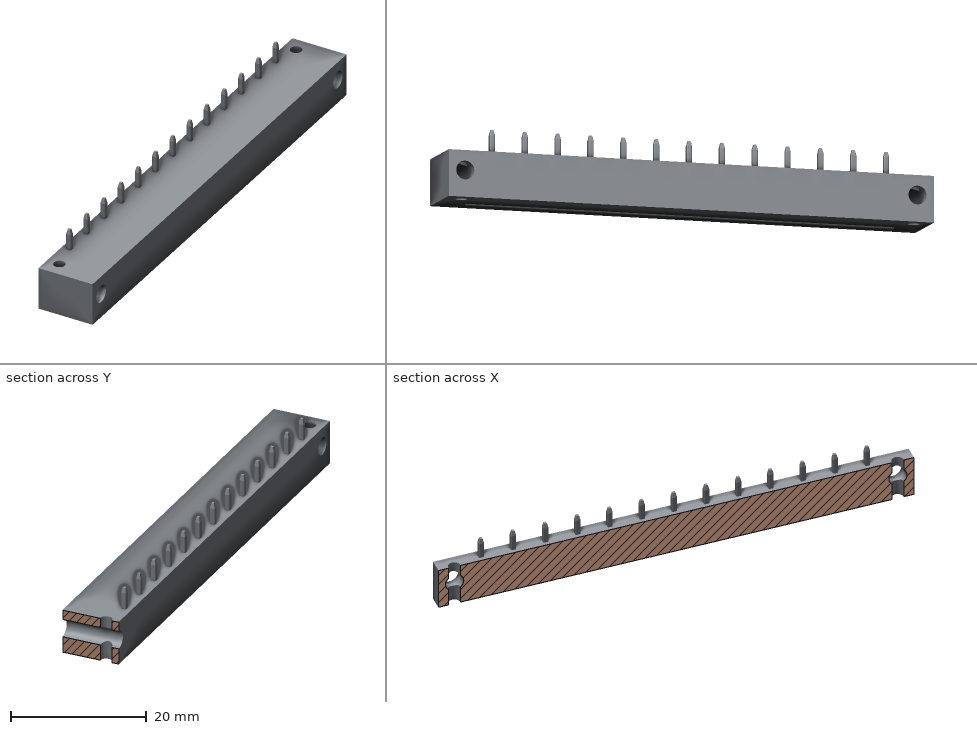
import cadquery as cq
import math

body_width = 9.2
body_length = 75.06
body_height = 7.0

overall_height = 10.65

pin_count = 13
pin_pitch = 5.08
pin_x = 1.22
pin_size = 0.8
pin_corner_chamfer = 0.1
pin_tip_height = 0.8
pin_tip_inset = 0.2

hole_spacing = 69.96
vertical_hole_diameter = 1.85
vertical_hole_x = 2.1
cross_hole_diameter = 2.8
cross_hole_depth_below_top = 3.0

rib_radius = 0.25
rib_x = 5.85
rib_length = 66.2

pin_height = overall_height - body_height - rib_radius


def make_body():
    """Plain rectangular housing, centred along Y."""
    return cq.Workplane("XY").box(
        body_width, body_length, body_height, centered=(False, True, False)
    )


def make_vertical_hole(y):
    """Cutter for a hole through the full height."""
    return (
        cq.Workplane("XY")
        .center(vertical_hole_x, y)
        .circle(vertical_hole_diameter / 2)
        .extrude(body_height)
    )


def make_cross_hole(y):
    """Cutter for a hole through the full width."""
    return (
        cq.Workplane("YZ")
        .center(y, body_height - cross_hole_depth_below_top)
        .circle(cross_hole_diameter / 2)
        .extrude(body_width)
    )


def pin_section(y, z):
    """Square section with cut corners, centred on a pin at height z."""
    outline = (
        cq.Sketch()
        .rect(pin_size, pin_size)
        .vertices()
        .chamfer(pin_corner_chamfer)
    )
    return cq.Workplane("XY", origin=(pin_x, y, z)).placeSketch(outline)


def make_pin(y):
    """Square pin with chamfered edges on the top face, ending in a tapered tip."""
    shaft_height = pin_height - pin_tip_height
    tip_base = body_height + shaft_height
    tip_taper = math.degrees(math.atan2(pin_tip_inset, pin_tip_height))
    shaft = pin_section(y, body_height).extrude(shaft_height)
    tip = pin_section(y, tip_base).extrude(pin_tip_height, taper=tip_taper)
    return shaft.union(tip)


def make_rib():
    """Half-round rib along the underside; its upper half lies inside the body."""
    return (
        cq.Workplane("XZ", origin=(rib_x, 0, 0))
        .circle(rib_radius)
        .extrude(rib_length / 2, both=True)
    )


result = make_body().union(make_rib())

for hole_y in (-hole_spacing / 2, hole_spacing / 2):
    result = result.cut(make_vertical_hole(hole_y)).cut(make_cross_hole(hole_y))

for index in range(pin_count):
    pin_y = (index - (pin_count - 1) / 2) * pin_pitch
    result = result.union(make_pin(pin_y))